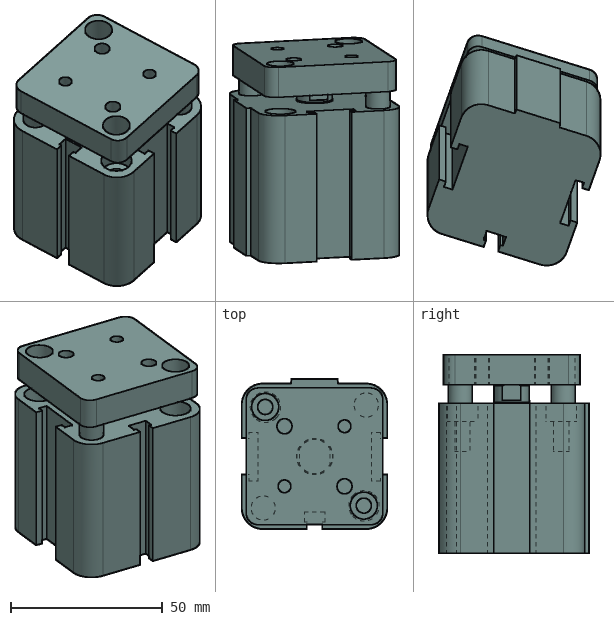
import cadquery as cq


total_height = 65.5
housing_height = 49.5
plate_thickness = 10.0
plate_bottom = total_height - plate_thickness
rod_gap = plate_bottom - housing_height

housing_width = 48.0
housing_half = housing_width / 2
housing_corner_radius = 7.0

rail_height = 1.5
rail_base_width = 15.6
rail_tip_width = 15.2

side_slot_neck_width = 12.0
side_slot_neck_depth = 2.35
side_slot_inner_width = 16.0
side_slot_depth = 5.3
front_slot_neck_width = 5.0
front_slot_neck_depth = 2.4
front_slot_inner_width = 6.7
front_slot_depth = 5.7

mounting_hole_offset = 16.25
counterbore_diameter = 10.0
counterbore_depth = 6.0
bolt_hole_diameter = 5.0
bolt_hole_depth = 9.8

plate_width = 45.0
plate_corner_radius = 3.8
access_hole_diameter = 8.9
inner_hole_offset = 9.9
dowel_hole_diameter = 5.0
thread_hole_diameter = 4.2
guide_rod_offset = 16.95
guide_rod_diameter = 8.0
piston_rod_diameter = 11.7
piston_rod_chamfer = 0.25
flat_spacing = 10.0
flat_bottom = 1.0
ring_diameter = 12.0
ring_height = 0.3


def rising_diagonal(offset):
    """Points on the (-X, -Y) to (+X, +Y) diagonal."""
    return [(-offset, -offset), (offset, offset)]


def falling_diagonal(offset):
    """Points on the (-X, +Y) to (+X, -Y) diagonal."""
    return [(-offset, offset), (offset, -offset)]


def rounded_square(width, height, corner_radius):
    block = cq.Workplane("XY").rect(width, width).extrude(height)
    return block.edges("|Z").fillet(corner_radius)


def t_slot(neck_width, neck_depth, inner_width, depth):
    """T-slot cutter that opens through the -Y face of the housing."""
    neck = (
        cq.Workplane("XY")
        .center(0, -housing_half + depth / 2)
        .rect(neck_width, depth)
        .extrude(housing_height)
    )
    inner_depth = depth - neck_depth
    undercut = (
        cq.Workplane("XY")
        .center(0, -housing_half + neck_depth + inner_depth / 2)
        .rect(inner_width, inner_depth)
        .extrude(housing_height)
    )
    return neck.union(undercut)


def mounting_rail():
    """Tapered rail standing on the +Y face."""
    return (
        cq.Workplane("XY")
        .moveTo(-rail_base_width / 2, housing_half)
        .lineTo(-rail_tip_width / 2, housing_half + rail_height)
        .lineTo(rail_tip_width / 2, housing_half + rail_height)
        .lineTo(rail_base_width / 2, housing_half)
        .close()
        .extrude(housing_height)
    )


def make_housing():
    body = rounded_square(housing_width, housing_height, housing_corner_radius)
    body = body.union(mounting_rail())

    side_slot = t_slot(
        side_slot_neck_width, side_slot_neck_depth, side_slot_inner_width, side_slot_depth
    )
    for angle in (-90, 90):
        body = body.cut(side_slot.rotate((0, 0, 0), (0, 0, 1), angle))
    body = body.cut(
        t_slot(front_slot_neck_width, front_slot_neck_depth, front_slot_inner_width, front_slot_depth)
    )

    return (
        body.faces(">Z")
        .workplane(origin=(0, 0, housing_height))
        .pushPoints(falling_diagonal(mounting_hole_offset))
        .cboreHole(
            bolt_hole_diameter,
            counterbore_diameter,
            counterbore_depth,
            depth=counterbore_depth + bolt_hole_depth,
        )
    )


def make_plate():
    plate = rounded_square(plate_width, plate_thickness, plate_corner_radius)
    plate = plate.translate((0, 0, plate_bottom))
    hole_patterns = [
        (falling_diagonal(mounting_hole_offset), access_hole_diameter),
        (falling_diagonal(inner_hole_offset), dowel_hole_diameter),
        (rising_diagonal(inner_hole_offset), thread_hole_diameter),
    ]
    for points, diameter in hole_patterns:
        top = plate.faces(">Z").workplane(origin=(0, 0, total_height))
        plate = top.pushPoints(points).hole(diameter, depth=plate_thickness)
    return plate


def make_guide_rods():
    return (
        cq.Workplane("XY", origin=(0, 0, housing_height))
        .pushPoints(rising_diagonal(guide_rod_offset))
        .circle(guide_rod_diameter / 2)
        .extrude(rod_gap)
    )


def make_piston_rod():
    """Piston rod with a base ring, a chamfered end and wrench flats facing -X and +X."""
    base = cq.Workplane("XY", origin=(0, 0, housing_height))
    rod = base.circle(piston_rod_diameter / 2).extrude(rod_gap)
    rod = rod.faces(">Z").chamfer(piston_rod_chamfer)
    flat_height = rod_gap - flat_bottom
    between_flats = (
        base.workplane(offset=flat_bottom)
        .rect(flat_spacing, piston_rod_diameter)
        .extrude(flat_height)
    )
    flatted_part = rod.intersect(between_flats)
    round_part = base.circle(piston_rod_diameter / 2).extrude(flat_bottom)
    ring = base.circle(ring_diameter / 2).extrude(ring_height)
    return flatted_part.union(round_part).union(ring)


def make_head():
    return make_plate().union(make_guide_rods()).union(make_piston_rod())


housing = make_housing()
head = make_head()

result = cq.Compound.makeCompound([housing.val(), head.val()])